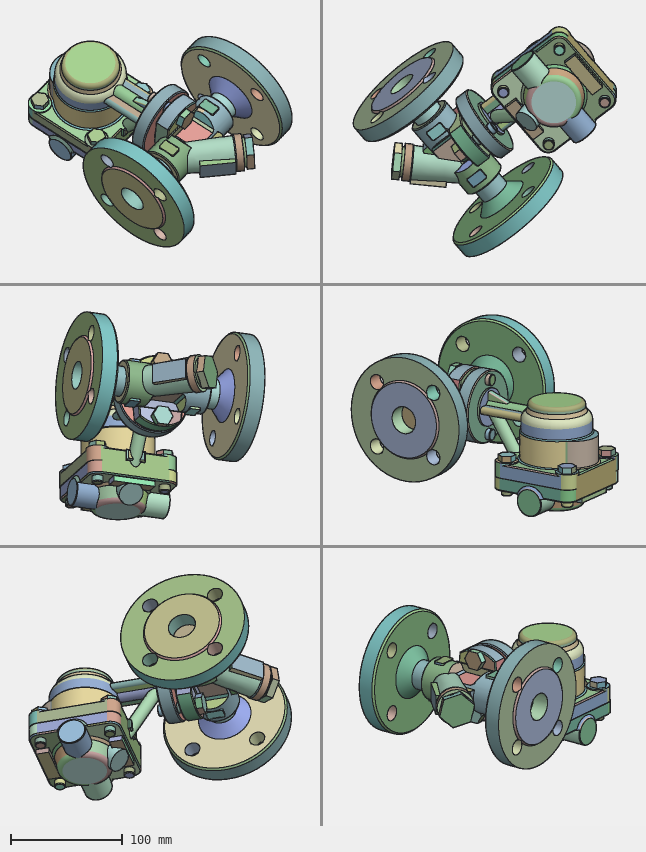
import cadquery as cq
import math

AXIS_X = cq.Vector(1, 0, 0)
AXIS_Y = cq.Vector(0, 1, 0)
AXIS_Z = cq.Vector(0, 0, 1)

trap_x = -113.45
trap_y = 4.0

face_to_face = 160.0
pipe_flange_d = 115.0
pipe_flange_t = 16.0
raised_face_t = 2.0
raised_face_tip_d = 69.5
raised_face_root_d = 72.5
pipe_flange_chamfer = 1.7
flange_bolt_circle_d = 85.0
flange_hole_d = 14.0
bore_d = 25.0
bore_depth = 16.0
neck_root_d = 48.6
neck_length = 9.9
pipe_d = 27.2
pipe_start_y = 30.0

body_d = 39.0
body_length = 80.0
body_mid_y = 2.1
body_chamfer = 1.0
waist_length = 35.5
waist_floor_length = 22.8
waist_half_height = 10.5
waist_knee_length = 28.5
waist_knee_height = 12.0
pad_length = 16.0
pad_width = 10.0
pad_corner_r = 1.5
pad_top_z = 20.0
pad_pitch = 57.4

branch_offset = 24.4
barrel_start = 10.0
barrel_root_r = 14.0
barrel_top_r = 15.8
collar_start = 56.7
collar_end = 64.5
collar_r = 16.8
collar_chamfer = 1.0
cap_neck_r = 13.5
cap_start = 67.0
cap_end = 73.8
cap_corner_r = 16.5
cap_turn = 43.0
boss_start = 24.5
boss_reach = 16.9
boss_half_height = 9.0
web_corners = [(10, 0), (10, 21.5), (23.2, 21.0), (30, 10)]
web_half_t = 8.0

connector_d = 67.0
connector_face_x = -40.3
connector_back_x = -26.9
spigot_d = 35.0
arm_disc_t = 2.0
mount_face_x = -23.7
mount_back_x = -9.0
mount_half_width_mid = 22.6
mount_half_width_end = 19.4
mount_lip_t = 1.4
mount_lip_height = 36.0
connector_chamfer = 1.0
connector_bolt_z = 25.5
connector_bolt_d = 10.5
connector_bolt_tip_x = -45.0
connector_bolt_tip_chamfer = 0.6
connector_head_t = 6.2
connector_head_corners = 19.0

arm_tube_d = 15.0
arm_web_width = 32.0
arm_web_t = 7.0
rib_start_x = -62.8
rib_top_z = 15.0
rib_t = 6.0
rib_edge_r = 0.8
drain_tube_d = 12.0
drain_top = cq.Vector(-46.0, trap_y, -2.0)
drain_foot = cq.Vector(-84.0, trap_y, -60.0)

plate_size = 85.0
plate_corner_r = 10.0
cover_top_z = -36.1
joint_z = -49.1
base_bottom_z = -61.2
base_shift_y = 0.6
plate_edge_chamfer = 1.2
trap_bolt_pitch = 64.4
trap_bolt_d = 10.0
trap_bolt_end_z = -67.2
trap_bolt_tip_chamfer = 0.8
drain_pad_reach = 45.5
drain_pad_half_width = 9.0
drain_pad_lift = 3.0
bolt_pad_d = 21.0
bolt_pad_t = 1.2
trap_head_t = 5.4
trap_head_corners = 16.2

column_r = 33.2
column_top_z = -10.5
lobe_r = 23.5
lobe_reach = 40.0
lobe_blend_r = 4.0
column_foot_flare = 1.8
column_foot_height = 0.8
dome_foot_z = -9.3
dome_r = 32.2
dome_spring_z = 0.5
dome_shoulder_r = 27.5
dome_shoulder_z = 8.5
crown_r = 26.0
crown_root_z = 12.6
crown_top_z = 18.3
crown_edge_r = 3.6

bowl_top_r = 27.2
bowl_bottom_r = 24.0
bowl_bottom_z = -79.0
bowl_edge_r = 5.0
bowl_root_r = 29.5
bowl_root_height = 2.4
tab_outer = 40.0
tab_inner = 28.0
tab_half_width = 19.7
tab_bottom_z = -66.2
port_r = 12.9
port_z = bowl_bottom_z + port_r
port_half_length = 44.8
port_mid_y = trap_y + base_shift_y
port_chamfer = 0.7
port_root_r = 15.0
port_root_flare = 1.6
plug_r = 11.0
plug_length = 20.0
part_bottom_z = -81.07
plug_face_x = -81.3


def rod(radius, start, end):
    """Cylinder between two points."""
    axis = end - start
    return cq.Workplane(cq.Solid.makeCylinder(radius, axis.Length, start, axis))


def box(x0, x1, y0, y1, z0, z1):
    """Block between opposite corner coordinates."""
    return cq.Workplane(cq.Solid.makeBox(x1 - x0, y1 - y0, z1 - z0, cq.Vector(x0, y0, z0)))


def hexagon_head(base, axis, corner_direction, corners, thickness):
    """Hexagonal prism with one corner in the given direction."""
    plane = cq.Plane(origin=base.toTuple(), xDir=corner_direction.toTuple(), normal=axis.toTuple())
    return cq.Workplane(plane).polygon(6, corners).extrude(thickness)


def revolved(points, origin, axis, radial):
    """Solid of revolution from (radius, height) points along an axis."""
    normal = radial.cross(axis)
    plane = cq.Plane(origin=origin.toTuple(), xDir=radial.toTuple(), normal=normal.toTuple())
    return cq.Workplane(plane).polyline(points).close().revolve(360, (0, 0, 0), (0, 1, 0))


def pipe_end(side):
    """Flange, tapered neck and pipe on one side (+1 or -1) of the body."""
    tip = face_to_face / 2
    front = tip - raised_face_t
    back = front - pipe_flange_t
    neck_end = back - neck_length
    flange_r = pipe_flange_d / 2
    profile = [
        (0, pipe_start_y),
        (pipe_d / 2, pipe_start_y),
        (pipe_d / 2, neck_end),
        (neck_root_d / 2, back),
        (flange_r - pipe_flange_chamfer, back),
        (flange_r, back + pipe_flange_chamfer),
        (flange_r, front),
        (raised_face_root_d / 2, front),
        (raised_face_tip_d / 2, tip),
        (0, tip),
    ]
    outward = AXIS_Y * side
    end = revolved(profile, cq.Vector(0, 0, 0), outward, AXIS_X)
    end = end.cut(rod(bore_d / 2, outward * (tip - bore_depth), outward * tip))
    for quarter in range(4):
        angle = math.radians(45 + 90 * quarter)
        hole_x = flange_bolt_circle_d / 2 * math.cos(angle)
        hole_z = flange_bolt_circle_d / 2 * math.sin(angle)
        centre = cq.Vector(hole_x, 0, hole_z)
        end = end.cut(rod(flange_hole_d / 2, centre + outward * back, centre + outward * tip))
    return end


def valve_body():
    """Round body with a flattened waist and raised pads on top and underneath."""
    start = cq.Vector(0, body_mid_y - body_length / 2, 0)
    end = cq.Vector(0, body_mid_y + body_length / 2, 0)
    body = rod(body_d / 2, start, end).faces("<Y or >Y").chamfer(body_chamfer)
    waist = [
        (waist_floor_length / 2, waist_half_height),
        (waist_knee_length / 2, waist_knee_height),
        (waist_length / 2, body_d / 2),
    ]
    for side in (1, -1):
        flat = (
            cq.Workplane("YZ", origin=(-body_d / 2, trap_y, 0))
            .polyline([(y, side * z) for y, z in waist] + [(-y, side * z) for y, z in reversed(waist)])
            .close()
            .extrude(body_d)
        )
        body = body.cut(flat)
        pad = (
            cq.Workplane("XY", origin=(0, body_mid_y, 0))
            .pushPoints([(0, pad_pitch / 2), (0, -pad_pitch / 2)])
            .rect(pad_length, pad_width)
            .extrude(side * pad_top_z)
            .edges("|Z")
            .fillet(pad_corner_r)
        )
        body = body.union(pad)
    return body


def strainer_branch():
    """Tapered barrel with collar, hexagonal cap, side boss and crotch web."""
    origin = cq.Vector(0, -branch_offset, 0)
    along = cq.Vector(1, 1, 0).normalized()
    across = cq.Vector(1, -1, 0).normalized()
    profile = [
        (0, barrel_start),
        (barrel_root_r, barrel_start),
        (barrel_top_r, collar_start),
        (collar_r, collar_start + collar_chamfer),
        (collar_r, collar_end),
        (cap_neck_r, collar_end),
        (cap_neck_r, cap_start),
        (0, cap_start),
    ]
    branch = revolved(profile, origin, along, across)
    turn = math.radians(cap_turn)
    corner = across * math.cos(turn) + AXIS_Z * math.sin(turn)
    cap = hexagon_head(origin + along * cap_start, along, corner, 2 * cap_corner_r, cap_end - cap_start)
    branch = branch.union(cap)
    plane = cq.Plane(origin=origin.toTuple(), xDir=along.toTuple(), normal=(0, 0, 1))
    boss = (
        cq.Workplane(plane)
        .moveTo(boss_start, 0)
        .lineTo(collar_start, 0)
        .lineTo(collar_start, -boss_reach)
        .lineTo(boss_start, -boss_reach)
        .close()
        .extrude(boss_half_height, both=True)
    )
    web = (
        cq.Workplane("XY")
        .polyline(web_corners)
        .close()
        .extrude(web_half_t, both=True)
    )
    return branch.union(boss).union(web)


def connector_bolts():
    """Two bolts whose round tips show on the arm side and hexagon heads on the body side."""
    bolts = cq.Workplane()
    for side in (1, -1):
        height = side * connector_bolt_z
        tip = cq.Vector(connector_bolt_tip_x, trap_y, height)
        seat = cq.Vector(mount_back_x, trap_y, height)
        shank = rod(connector_bolt_d / 2, tip, seat).faces("<X").chamfer(connector_bolt_tip_chamfer)
        bolts = bolts.add(shank)
        bolts = bolts.add(hexagon_head(seat, AXIS_X, AXIS_Y, connector_head_corners, connector_head_t))
    return bolts.combine()


def connector():
    """Round arm flange bolted to the flat-sided mount on the valve body."""
    radius = connector_d / 2
    face = cq.Vector(connector_face_x, trap_y, 0)
    back = cq.Vector(connector_back_x, trap_y, 0)
    arm_flange = rod(radius, face, back).faces("<X or >X").chamfer(connector_chamfer)
    spigot = rod(
        spigot_d / 2,
        cq.Vector(connector_face_x - arm_disc_t, trap_y, 0),
        cq.Vector(mount_face_x, trap_y, 0),
    )
    mount = rod(radius, cq.Vector(mount_face_x, trap_y, 0), cq.Vector(mount_back_x, trap_y, 0))
    sides = (
        cq.Workplane("YZ", origin=(mount_face_x, trap_y, 0))
        .polyline([
            (mount_half_width_mid, 0),
            (mount_half_width_end, radius),
            (-mount_half_width_end, radius),
            (-mount_half_width_mid, 0),
            (-mount_half_width_end, -radius),
            (mount_half_width_end, -radius),
        ])
        .close()
        .extrude(mount_back_x - mount_face_x)
    )
    mount = mount.intersect(sides).faces("<X or >X").chamfer(connector_chamfer)
    lip = box(
        mount_back_x, mount_back_x + mount_lip_t,
        trap_y - mount_half_width_mid, trap_y + mount_half_width_mid,
        -mount_lip_height / 2, mount_lip_height / 2,
    )
    mount = mount.union(lip)
    return arm_flange.union(spigot).union(mount).union(connector_bolts())


def arm():
    """Tube with a flat web and a stiffening rib, plus the slanted drain tube."""
    end_x = connector_face_x - arm_disc_t
    tube = rod(arm_tube_d / 2, cq.Vector(trap_x, trap_y, 0), cq.Vector(end_x, trap_y, 0))
    edge_r = arm_web_t / 2
    edge_y = arm_web_width / 2 - edge_r
    web = box(trap_x, end_x, trap_y - edge_y, trap_y + edge_y, -edge_r, edge_r)
    for side in (1, -1):
        y = trap_y + side * edge_y
        web = web.union(rod(edge_r, cq.Vector(trap_x, y, 0), cq.Vector(end_x, y, 0)))
    rib = (
        cq.Workplane("XZ", origin=(0, trap_y, 0))
        .moveTo(rib_start_x, 0)
        .lineTo(rib_start_x, arm_tube_d / 2)
        .lineTo(end_x, rib_top_z)
        .lineTo(end_x, 0)
        .close()
        .extrude(rib_t / 2, both=True)
        .faces(">Z")
        .edges("not |Y")
        .fillet(rib_edge_r)
    )
    drain = rod(drain_tube_d / 2, drain_foot, drain_top)
    return tube.union(web).union(rib).union(drain)


def plate(centre_y, bottom_z, top_z):
    """Square plate with rounded corners, centred on the trap in X."""
    return (
        cq.Workplane("XY", origin=(trap_x, centre_y, bottom_z))
        .rect(plate_size, plate_size)
        .extrude(top_z - bottom_z)
        .edges("|Z")
        .fillet(plate_corner_r)
    )


def trap_plates():
    """Cover and base plates with their four through bolts."""
    cover = plate(trap_y, joint_z, cover_top_z).faces(">Z").chamfer(plate_edge_chamfer)
    base = plate(trap_y + base_shift_y, base_bottom_z, joint_z).faces("<Z").chamfer(plate_edge_chamfer)
    drain_pad = box(
        trap_x, trap_x + drain_pad_reach,
        trap_y - drain_pad_half_width, trap_y + drain_pad_half_width,
        joint_z + drain_pad_lift, cover_top_z,
    ).edges(">X").chamfer(plate_edge_chamfer)
    plates = cover.union(base).union(drain_pad)
    pad_limit = plate(trap_y, joint_z, cover_top_z + bolt_pad_t)
    for side_x in (1, -1):
        for side_y in (1, -1):
            bolt_x = trap_x + side_x * trap_bolt_pitch / 2
            bolt_y = trap_y + side_y * trap_bolt_pitch / 2
            seat = cq.Vector(bolt_x, bolt_y, cover_top_z + bolt_pad_t)
            end = cq.Vector(bolt_x, bolt_y, trap_bolt_end_z)
            pad = rod(bolt_pad_d / 2, cq.Vector(bolt_x, bolt_y, joint_z), seat).intersect(pad_limit)
            shank = rod(trap_bolt_d / 2, end, seat).faces("<Z").chamfer(trap_bolt_tip_chamfer)
            head = hexagon_head(seat, AXIS_Z, AXIS_Y, trap_head_corners, trap_head_t)
            plates = plates.union(pad).union(shank).union(head)
    return plates


def bonnet():
    """Column with a lobe on its -X side, carrying a stepped dome."""
    foot = cq.Vector(trap_x, trap_y, cover_top_z)
    top = cq.Vector(trap_x, trap_y, column_top_z)
    lobe_shift = cq.Vector(lobe_r - lobe_reach, 0, 0)
    column = rod(column_r, foot, top).union(rod(lobe_r, foot + lobe_shift, top + lobe_shift))
    crossing_x = (column_r ** 2 + lobe_shift.x ** 2 - lobe_r ** 2) / (2 * lobe_shift.x)
    crossing_y = math.sqrt(column_r ** 2 - crossing_x ** 2)
    middle_z = (foot.z + top.z) / 2
    for side in (1, -1):
        crossing = (trap_x + crossing_x, trap_y + side * crossing_y, middle_z)
        column = column.edges(cq.selectors.NearestToPointSelector(crossing)).fillet(lobe_blend_r)
    flare_top = cover_top_z + column_foot_height
    for radius, centre_x in ((column_r, trap_x), (lobe_r, trap_x + lobe_shift.x)):
        foot_profile = [
            (0, cover_top_z),
            (radius + column_foot_flare, cover_top_z),
            (radius, flare_top),
            (0, flare_top),
        ]
        column = column.union(revolved(foot_profile, cq.Vector(centre_x, trap_y, 0), AXIS_Z, AXIS_X))
    bend = crown_edge_r * (1 - math.sqrt(0.5))
    dome_rise = dome_shoulder_z - dome_spring_z
    dome_run = dome_r - dome_shoulder_r
    dome_arc_r = (dome_rise ** 2 + dome_run ** 2) / (2 * dome_run)
    half_angle = math.asin(dome_rise / dome_arc_r) / 2
    dome_mid = (
        dome_r - dome_arc_r * (1 - math.cos(half_angle)),
        dome_spring_z + dome_arc_r * math.sin(half_angle),
    )
    dome = (
        cq.Workplane("XZ", origin=(trap_x, trap_y, 0))
        .moveTo(0, column_top_z)
        .lineTo(column_r, column_top_z)
        .lineTo(dome_r, dome_foot_z)
        .lineTo(dome_r, dome_spring_z)
        .threePointArc(dome_mid, (dome_shoulder_r, dome_shoulder_z))
        .lineTo(crown_r, crown_root_z)
        .lineTo(crown_r, crown_top_z - crown_edge_r)
        .threePointArc((crown_r - bend, crown_top_z - bend), (crown_r - crown_edge_r, crown_top_z))
        .lineTo(0, crown_top_z)
        .close()
        .revolve(360, (0, 0, 0), (0, 1, 0))
    )
    return column.union(dome)


def trap_underside():
    """Bowl, end tabs, horizontal port boss and slanted plug boss under the base."""
    bowl_profile = [
        (0, bowl_bottom_z),
        (bowl_bottom_r, bowl_bottom_z),
        (bowl_top_r, base_bottom_z - bowl_root_height),
        (bowl_root_r, base_bottom_z),
        (0, base_bottom_z),
    ]
    bowl = revolved(bowl_profile, cq.Vector(trap_x, trap_y, 0), AXIS_Z, AXIS_X)
    underside = bowl.faces("<Z").edges().fillet(bowl_edge_r)
    for inner, outer in ((-tab_outer, -tab_inner), (tab_inner, tab_outer)):
        tab = box(
            trap_x + inner, trap_x + outer,
            trap_y - tab_half_width, trap_y + tab_half_width,
            tab_bottom_z, base_bottom_z,
        )
        underside = underside.union(tab)
    port_centre = cq.Vector(trap_x, port_mid_y, port_z)
    port_reach = AXIS_Y * port_half_length
    port = rod(port_r, port_centre - port_reach, port_centre + port_reach)
    port = port.faces("<Y or >Y").chamfer(port_chamfer)
    underside = underside.union(port)
    root = plate_size / 2
    flare_profile = [
        (0, 0),
        (port_root_r, 0),
        (port_root_r, root),
        (port_r, root + port_root_flare),
        (0, root + port_root_flare),
    ]
    above_base = box(
        trap_x - port_root_r, trap_x + port_root_r,
        port_mid_y - plate_size, port_mid_y + plate_size,
        base_bottom_z, joint_z,
    )
    for side in (1, -1):
        flare = revolved(flare_profile, port_centre, AXIS_Y * side, AXIS_X)
        underside = underside.union(flare.intersect(above_base))
    plug_face_z = part_bottom_z + plug_r * math.sqrt(0.5)
    face = cq.Vector(plug_face_x, trap_y, plug_face_z)
    inward = cq.Vector(-1, 0, 1).normalized()
    return underside.union(rod(plug_r, face, face + inward * plug_length))


result = (
    pipe_end(1)
    .union(pipe_end(-1))
    .union(valve_body())
    .union(strainer_branch())
    .union(connector())
    .union(arm())
    .union(trap_plates())
    .union(bonnet())
    .union(trap_underside())
)